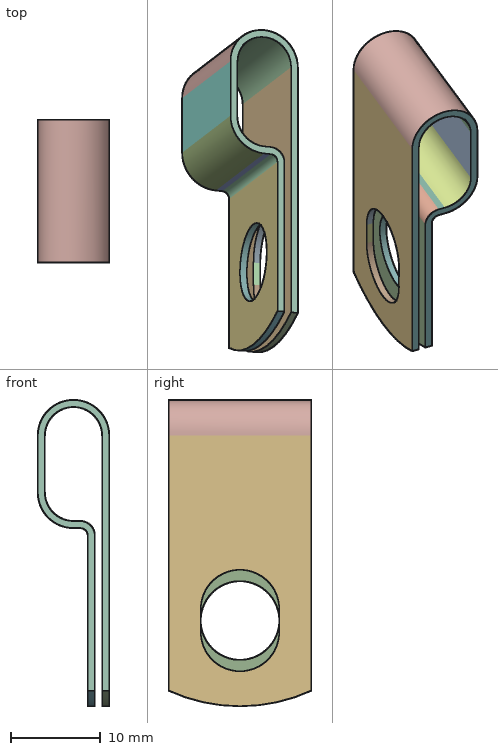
import cadquery as cq
import math

height = 34.07
loop_width = 7.97
strip_width = 15.88
thickness = 0.82
leg_gap = 0.8
loop_straight = 6.3
bend_inner_radius = 0.82
hole_diameter = 8.72
hole_height = 9.55
slot_straight = 2.55
end_sagitta = 1.75

outer_radius = loop_width / 2
inner_radius = outer_radius - thickness
upper_center_z = height - outer_radius
lower_center_z = upper_center_z - loop_straight
loop_outer_bottom = lower_center_z - outer_radius
loop_inner_bottom = lower_center_z - inner_radius
leg_inner_x = inner_radius - leg_gap
leg_outer_x = leg_inner_x - thickness
leg_gap_middle_x = leg_inner_x + leg_gap / 2

bend_outer_radius = bend_inner_radius + thickness
bend_center_x = leg_outer_x - bend_inner_radius
bend_center_z = loop_outer_bottom - bend_inner_radius


def arc_point(center_x, center_z, radius, degrees):
    """Point on a circle in the XZ plane."""
    angle = math.radians(degrees)
    return (center_x + radius * math.cos(angle), center_z + radius * math.sin(angle))


def make_strip():
    """Folded strip: long leg, loop and short leg, extruded along Y."""
    outline = (
        cq.Workplane("XZ")
        .moveTo(outer_radius, 0)
        .lineTo(outer_radius, upper_center_z)
        .threePointArc((0, height), (-outer_radius, upper_center_z))
        .lineTo(-outer_radius, lower_center_z)
        .threePointArc(arc_point(0, lower_center_z, outer_radius, 225), (0, loop_outer_bottom))
        .lineTo(bend_center_x, loop_outer_bottom)
        .threePointArc(
            arc_point(bend_center_x, bend_center_z, bend_inner_radius, 45),
            (leg_outer_x, bend_center_z),
        )
        .lineTo(leg_outer_x, 0)
        .lineTo(leg_inner_x, 0)
        .lineTo(leg_inner_x, bend_center_z)
        .threePointArc(
            arc_point(bend_center_x, bend_center_z, bend_outer_radius, 45),
            (bend_center_x, loop_inner_bottom),
        )
        .lineTo(0, loop_inner_bottom)
        .threePointArc(
            arc_point(0, lower_center_z, inner_radius, 225), (-inner_radius, lower_center_z)
        )
        .lineTo(-inner_radius, upper_center_z)
        .threePointArc((0, upper_center_z + inner_radius), (inner_radius, upper_center_z))
        .lineTo(inner_radius, 0)
        .close()
    )
    return outline.extrude(strip_width / 2, both=True)


def make_end_envelope():
    """Side silhouette whose lower edge rounds both leg ends."""
    half_width = strip_width / 2
    return (
        cq.Workplane("YZ")
        .moveTo(-half_width, end_sagitta)
        .threePointArc((0, 0), (half_width, end_sagitta))
        .lineTo(half_width, height)
        .lineTo(-half_width, height)
        .close()
        .extrude(loop_width, both=True)
    )


def make_screw_hole():
    """Round hole through the short leg, ending in the gap between the legs."""
    return (
        cq.Workplane("YZ", origin=(leg_gap_middle_x, 0, hole_height))
        .circle(hole_diameter / 2)
        .extrude(-loop_width)
    )


def make_adjustment_slot():
    """Upright slot through the long leg, as wide as the round hole."""
    slot_length = slot_straight + hole_diameter
    return (
        cq.Workplane("YZ", origin=(leg_gap_middle_x, 0, hole_height))
        .slot2D(slot_length, hole_diameter, angle=90)
        .extrude(loop_width)
    )


strip = make_strip().intersect(make_end_envelope())
result = strip.cut(make_screw_hole()).cut(make_adjustment_slot())